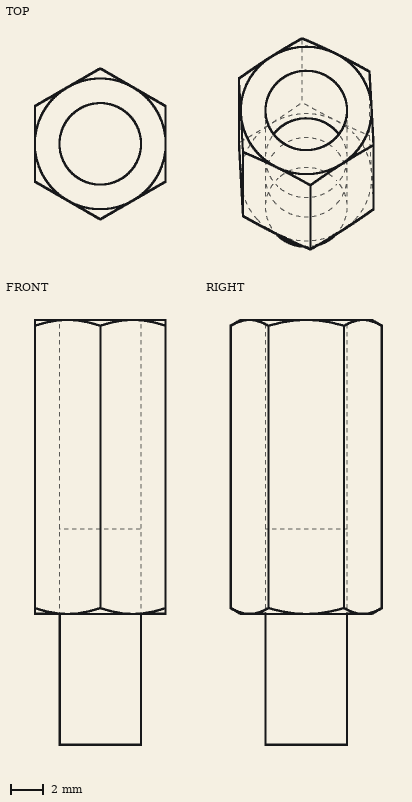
import cadquery as cq
import math

total_length = 26.0
stud_length = 8.0
stud_diameter = 5.0
across_flats = 8.0
chamfer_angle = 30.0
stud_insertion = 5.2

sleeve_length = total_length - stud_length
across_corners = across_flats / math.cos(math.radians(30))
flat_radius = across_flats / 2
corner_radius = across_corners / 2
chamfer_height = (corner_radius - flat_radius) * math.tan(math.radians(chamfer_angle))


def make_chamfer_envelope():
    """Turned blank whose conical ends cut back the corners of the hexagon."""
    half_profile = [
        (0, stud_length),
        (flat_radius, stud_length),
        (corner_radius, stud_length + chamfer_height),
        (corner_radius, total_length - chamfer_height),
        (flat_radius, total_length),
        (0, total_length),
    ]
    return cq.Workplane("XZ").polyline(half_profile).close().revolve(360, (0, 0, 0), (0, 1, 0))


def make_sleeve():
    """Hexagonal sleeve with corners on the Y axis and a bore along its length."""
    hexagon = (
        cq.Workplane("XY")
        .workplane(offset=stud_length)
        .transformed(rotate=(0, 0, 90))
        .polygon(6, across_corners)
        .extrude(sleeve_length)
    )
    bore = (
        cq.Workplane("XY")
        .workplane(offset=stud_length)
        .circle(stud_diameter / 2)
        .extrude(sleeve_length)
    )
    return hexagon.intersect(make_chamfer_envelope()).cut(bore)


def make_stud():
    """Plain round stud that fills the lower end of the sleeve's bore."""
    return cq.Workplane("XY").circle(stud_diameter / 2).extrude(stud_length + stud_insertion)


sleeve = make_sleeve()
stud = make_stud()

result = cq.Compound.makeCompound([sleeve.val(), stud.val()])